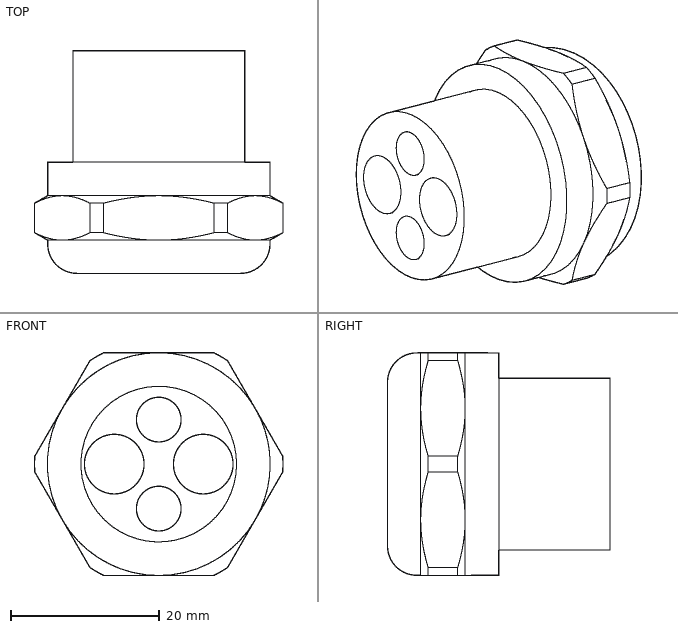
import cadquery as cq
import math

length = 30.0
across_flats = 30.0
across_corners = 33.5

recess_depth = 3.0
hex_front = 4.5
hex_back = 10.5
collar_back = length / 2

body_radius = across_flats / 2
tube_radius = 11.6
dome_radius = 4.0
recess_radius = 10.5

chamfer_angle = 30.0
corner_radius = across_corners / 2
chamfer_length = (corner_radius - body_radius) * math.tan(math.radians(chamfer_angle))

hole_offset = 6.0
large_hole_diameter = 8.0
small_hole_diameter = 6.0


def cylinder(radius, start, end, x=0, z=0):
    """Cylinder parallel to Y between two stations."""
    base = cq.Workplane("XZ", origin=(x, start, z))
    return base.circle(radius).extrude(start - end)


def make_body():
    """Rear tube and collar with a rounded front edge."""
    collar = cylinder(body_radius, 0, collar_back).faces("<Y").edges().fillet(dome_radius)
    tube = cylinder(tube_radius, collar_back, length)
    return collar.union(tube)


def make_hexagon():
    """Hexagon with corners on X, trimmed by a cylinder with conical ends."""
    sharp_corner_diameter = across_flats / math.cos(math.pi / 6)
    prism = (
        cq.Workplane("XZ", origin=(0, hex_front, 0))
        .polygon(6, sharp_corner_diameter)
        .extrude(hex_front - hex_back)
    )
    envelope = (
        cq.Workplane("XY")
        .moveTo(0, hex_front)
        .lineTo(body_radius, hex_front)
        .lineTo(corner_radius, hex_front + chamfer_length)
        .lineTo(corner_radius, hex_back - chamfer_length)
        .lineTo(body_radius, hex_back)
        .lineTo(0, hex_back)
        .close()
        .revolve(360, (0, 0, 0), (0, 1, 0))
    )
    return prism.intersect(envelope)


result = make_body().union(make_hexagon())
result = result.cut(cylinder(recess_radius, 0, recess_depth))

for side in (-1, 1):
    offset = side * hole_offset
    result = result.cut(cylinder(large_hole_diameter / 2, 0, length, x=offset))
    result = result.cut(cylinder(small_hole_diameter / 2, 0, length, z=offset))